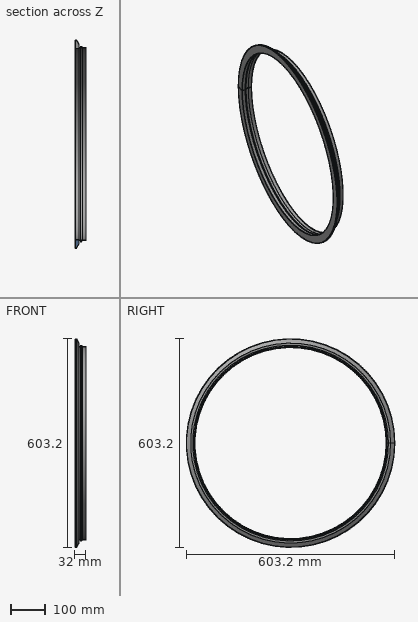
import cadquery as cq

width = 31.99
outer_radius = 603.2 / 2

front_chamfer = 1.5
flange_rim_end = 4.2
flange_back = 11.5
flange_back_radius = outer_radius - 12.5

sleeve_radius = 279.6
sleeve_thickness = 1.8
bore_radius = sleeve_radius - sleeve_thickness

lip_radius = 276.3
lip_depth = 10.5
lip_chamfer = 1.0

rib_start = 14.8
rib_crest_end = 17.8
rib_end = 22.0
rib_radius = 283.0

split_gap = 0.5


def ring_profile():
    """Half cross-section: x runs along the axis, y is the radius."""
    return (
        cq.Workplane("XY")
        .moveTo(0, lip_radius + lip_chamfer)
        .lineTo(0, outer_radius - front_chamfer)
        .lineTo(front_chamfer, outer_radius)
        .lineTo(flange_rim_end, outer_radius)
        .lineTo(flange_back, flange_back_radius)
        .lineTo(flange_back, sleeve_radius)
        .lineTo(rib_start, sleeve_radius)
        .lineTo(rib_start, rib_radius)
        .lineTo(rib_crest_end, rib_radius)
        .lineTo(rib_end, sleeve_radius)
        .lineTo(width, sleeve_radius)
        .lineTo(width, bore_radius)
        .lineTo(lip_depth, bore_radius)
        .lineTo(lip_depth, lip_radius)
        .lineTo(lip_chamfer, lip_radius)
        .close()
    )


def split_cutter():
    """Slab that opens the ring from its centre outwards, towards +Y."""
    return cq.Workplane("XY").box(
        width, outer_radius, split_gap, centered=(False, False, True)
    )


ring = ring_profile().revolve(360, (0, 0, 0), (1, 0, 0))
result = ring.cut(split_cutter())